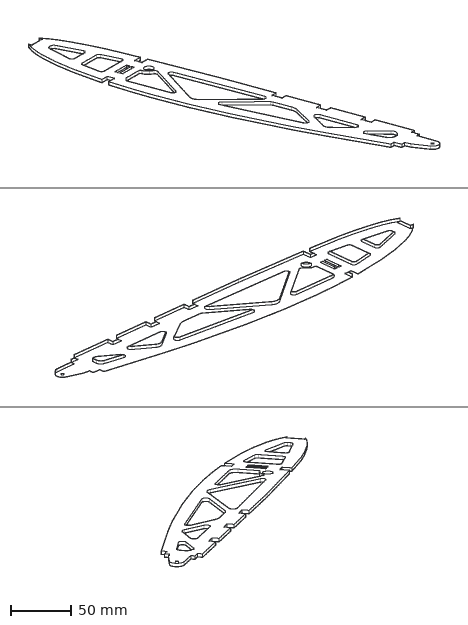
import cadquery as cq
import math

LENGTH = 402.0
THICKNESS = 3.0

NOSE_UPPER_Y = 8.0
NOSE_LOWER_Y = -7.5
NOSE_NOTCH_DEPTH = 3.2

SPAR_LEFT = 92.5
SPAR_RIGHT = 99.7
UPPER_SPAR_FLOOR = 11.5
LOWER_SPAR_FLOOR = -29.5

STRINGER_WIDTH = 10.0
STRINGER_DEPTH = 6.0
STRINGER_PITCH = 45.0
STRINGER_COUNT = 3
FIRST_STRINGER_X = 228.5
UPPER_SLOPE_START = (174.0, 20.0)
UPPER_SLOPE_END = (368.5, 15.0)

STEP_1_X = UPPER_SLOPE_END[0]
STEP_2_X = 376.0
UPPER_STEP_1_Y = 10.5
UPPER_STEP_2_Y = 7.0
LOWER_EDGE_END = (STEP_1_X, -20.5)
LOWER_STEP_1_Y = -15.5
LOWER_STEP_2_Y = -11.3
TAB_UPPER_BEND = (388.0, 6.5)
TAB_LOWER_BEND = (382.0, -11.0)
TIP_RADIUS = 6.0
TIP_CENTER = (LENGTH - TIP_RADIUS, 0.0)
PIN_RADIUS = 1.2

ROUND_HOLE_CENTER = (111.5, 4.5)
ROUND_HOLE_RADIUS = 4.5
SLIT_WIDTH = 3.0
SLIT_LENGTH = 17.0
SLIT_PITCH = 5.0
FIRST_SLIT_X = 93.7
SLIT_CENTER_Y = -9.0

UPPER_NOSE_CURVE = [(0, NOSE_UPPER_Y), (13.0, 13.0), (26.5, 15.5), (55.5, 19.1), (SPAR_LEFT, 20.0)]
LOWER_NOSE_CURVE = [(0, NOSE_LOWER_Y), (7.5, -13.3), (32.5, -24.5), (59.5, -31.8), (SPAR_LEFT, -37.5)]
LOWER_REAR_CURVE = [
    (SPAR_RIGHT, -38.2), (122.0, -40.2), (163.0, -42.0), (216.8, -40.2),
    (254.5, -37.0), (290.5, -33.0), (328.0, -27.0), LOWER_EDGE_END,
]

WINDOWS = [
    [(17.3, 2.0, 3.0), (48.5, 6.0, 3.0), (48.5, -16.0, 3.0), (17.3, -5.0, 3.0)],
    [(59.5, 6.5, 3.0), (84.0, 9.0, 3.0), (84.0, -24.5, 3.0), (59.5, -19.5, 3.0)],
    [(107.5, -3.0, 1.5), (113.0, -3.0, 7.2), (119.5, 4.0, 2.5), (164.0, -29.5, 3.0), (107.5, -28.0, 6.0)],
    [(124.5, 8.5, 3.0), (235.5, 7.2, 3.5), (178.0, -31.8, 8.0)],
    [(192.0, -29.0, 3.2), (236.0, 1.0, 4.0), (259.5, 0.5, 12.0), (292.0, -21.7, 3.2)],
    [(274.0, 0.0, 3.2), (332.0, -1.5, 3.2), (303.0, -20.5, 6.0)],
    [(323.5, -16.0, 3.2), (356.0, 5.2, 5.0), (362.0, 0.0, 3.5), (362.0, -9.2, 5.2)],
]


def upper_slope_y(x):
    """Height of the straight upper edge behind the spar."""
    (x0, y0), (x1, y1) = UPPER_SLOPE_START, UPPER_SLOPE_END
    return y0 + (y1 - y0) * (x - x0) / (x1 - x0)


def tip_tangent_point(bend, side):
    """Where a line from bend touches the tip circle; side is +1 above, -1 below."""
    dx = bend[0] - TIP_CENTER[0]
    dy = bend[1] - TIP_CENTER[1]
    angle = math.atan2(dy, dx) - side * math.acos(TIP_RADIUS / math.hypot(dx, dy))
    return (
        TIP_CENTER[0] + TIP_RADIUS * math.cos(angle),
        TIP_CENTER[1] + TIP_RADIUS * math.sin(angle),
    )


def make_blank():
    """Outer profile, drawn clockwise from the upper nose lip."""
    outline = (
        cq.Workplane("XY").workplane(offset=-THICKNESS / 2)
        .moveTo(*UPPER_NOSE_CURVE[0])
        .spline(UPPER_NOSE_CURVE[1:], includeCurrent=True)
        .lineTo(SPAR_LEFT, UPPER_SPAR_FLOOR)
        .lineTo(SPAR_RIGHT, UPPER_SPAR_FLOOR)
        .lineTo(SPAR_RIGHT, UPPER_SLOPE_START[1])
        .lineTo(*UPPER_SLOPE_START)
        .lineTo(*UPPER_SLOPE_END)
        .lineTo(STEP_1_X, UPPER_STEP_1_Y)
        .lineTo(STEP_2_X, UPPER_STEP_1_Y)
        .lineTo(STEP_2_X, UPPER_STEP_2_Y)
        .lineTo(*TAB_UPPER_BEND)
        .lineTo(*tip_tangent_point(TAB_UPPER_BEND, 1))
        .threePointArc((LENGTH, TIP_CENTER[1]), tip_tangent_point(TAB_LOWER_BEND, -1))
        .lineTo(*TAB_LOWER_BEND)
        .lineTo(STEP_2_X, LOWER_STEP_2_Y)
        .lineTo(STEP_2_X, LOWER_STEP_1_Y)
        .lineTo(STEP_1_X, LOWER_STEP_1_Y)
        .lineTo(*LOWER_EDGE_END)
        .spline(LOWER_REAR_CURVE[-2::-1], includeCurrent=True)
        .lineTo(SPAR_RIGHT, LOWER_SPAR_FLOOR)
        .lineTo(SPAR_LEFT, LOWER_SPAR_FLOOR)
        .lineTo(*LOWER_NOSE_CURVE[-1])
        .spline(LOWER_NOSE_CURVE[-2::-1], includeCurrent=True)
        .lineTo(NOSE_NOTCH_DEPTH, NOSE_LOWER_Y)
        .lineTo(NOSE_NOTCH_DEPTH, NOSE_UPPER_Y)
        .close()
    )
    return outline.extrude(THICKNESS)


def make_window(corners):
    """Prism through the rib whose upright edges are rounded corner by corner."""
    points = [(x, y) for x, y, _ in corners]
    prism = cq.Workplane("XY").polyline(points).close().extrude(THICKNESS, both=True)
    for x, y, radius in corners:
        prism = prism.edges(cq.selectors.NearestToPointSelector((x, y, 0))).fillet(radius)
    return prism


def make_stringer_notch(left):
    """Square notch whose floor lies a fixed depth below the upper edge."""
    center_x = left + STRINGER_WIDTH / 2
    return (
        cq.Workplane("XY")
        .center(center_x, upper_slope_y(center_x))
        .rect(STRINGER_WIDTH, 2 * STRINGER_DEPTH)
        .extrude(THICKNESS, both=True)
    )


def make_round_cutter(center, radius):
    return cq.Workplane("XY").center(*center).circle(radius).extrude(THICKNESS, both=True)


result = make_blank()

for window in WINDOWS:
    result = result.cut(make_window(window))

for index in range(STRINGER_COUNT):
    result = result.cut(make_stringer_notch(FIRST_STRINGER_X + index * STRINGER_PITCH))

for index in range(2):
    slit = (
        cq.Workplane("XY")
        .center(FIRST_SLIT_X + index * SLIT_PITCH, SLIT_CENTER_Y)
        .rect(SLIT_WIDTH, SLIT_LENGTH)
        .extrude(THICKNESS, both=True)
    )
    result = result.cut(slit)

result = result.cut(make_round_cutter(ROUND_HOLE_CENTER, ROUND_HOLE_RADIUS))
result = result.cut(make_round_cutter(TIP_CENTER, PIN_RADIUS))